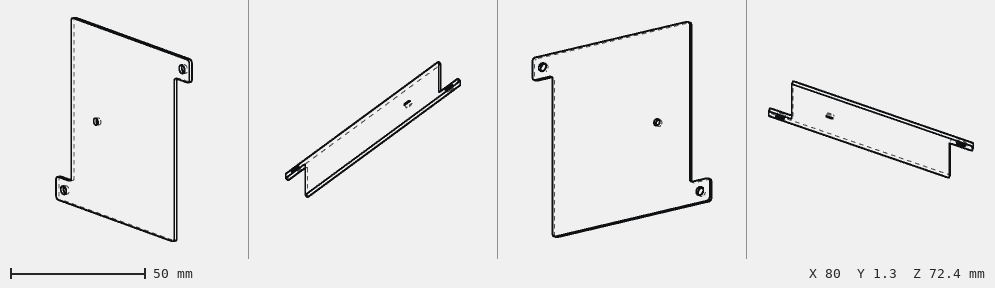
import cadquery as cq

width = 80.0
height = 72.4
thickness = 1.3
tab_length = 9.05
tab_height = 8.9
corner_radius = 1.3

mount_hole_diameter = 3.2
mount_hole_inset = 4.5
small_hole_diameter = 2.6
small_hole_x = -16.2
small_hole_z = -0.65

half_width = width / 2
half_height = height / 2
body_half_width = half_width - tab_length
tab_edge_z = half_height - tab_height


def make_plate():
    """Z-shaped outline, unchanged by a half turn about Y, with all corners rounded."""
    half_outline = [
        (-body_half_width, half_height),
        (half_width, half_height),
        (half_width, tab_edge_z),
        (body_half_width, tab_edge_z),
    ]
    opposite_half = [(-x, -z) for x, z in half_outline]
    plate = (
        cq.Workplane("XZ")
        .polyline(half_outline + opposite_half)
        .close()
        .extrude(thickness / 2, both=True)
    )
    return plate.edges("|Y").fillet(corner_radius)


def make_holes(centers, diameter):
    """Cylinders passing through the plate along Y."""
    return (
        cq.Workplane("XZ")
        .pushPoints(centers)
        .circle(diameter / 2)
        .extrude(thickness, both=True)
    )


mount_x = half_width - mount_hole_inset
mount_z = half_height - mount_hole_inset
mount_holes = make_holes([(mount_x, mount_z), (-mount_x, -mount_z)], mount_hole_diameter)
small_hole = make_holes([(small_hole_x, small_hole_z)], small_hole_diameter)

result = make_plate().cut(mount_holes).cut(small_hole)